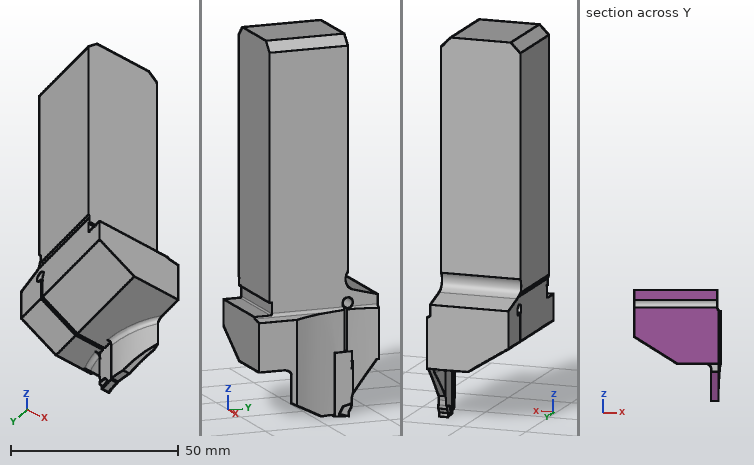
import cadquery as cq
import math


TOTAL_HEIGHT = 116.8
SHANK_SIZE = 25.2
SHANK_START_Y = 5.0
SHANK_END_Y = SHANK_START_Y + SHANK_SIZE
TOP_CHAMFER = 3.0
STEP_TOP = 40.0
STEP_BOTTOM = 39.0
STEP_DEPTH = 0.4

HEAD_RIGHT = 29.4
HEAD_DEPTH = 39.8
HEAD_BOTTOM = 16.8
BEVEL_TOP = 24.9
BEVEL_RUN = 12.8
SHOULDER_OUTER_Z = 32.0
SHOULDER_ANGLE = 10.0
SHOULDER_FILLET = 1.0
BACK_SHOULDER_OUTER_Z = 36.5
BACK_SHOULDER_ANGLE = 15.0
NECK_Y = 29.4
NECK_RADIUS = 3.5
NOTCH_WALL_Y = 5.7
NOTCH_FLOOR = 33.0
NOTCH_TOP = 36.9
NOTCH_FILLET = 0.5

HOLLOW_START_Y = 12.1
HOLLOW_CENTRE_Y = 31.5
HOLLOW_DEPTH = 3.9
HOLLOW_HALF_CHORD = HOLLOW_CENTRE_Y - HOLLOW_START_Y
HOLLOW_RADIUS = (HOLLOW_HALF_CHORD**2 + HOLLOW_DEPTH**2) / (2 * HOLLOW_DEPTH)
HOLLOW_X = HEAD_RIGHT - HOLLOW_DEPTH

BLADE_THICKNESS = 2.3
BLADE_START_Y = 10.3
BLADE_CENTRE_Y = 29.2
BLADE_LEFT = HOLLOW_X - BLADE_THICKNESS
BLADE_REACH = HEAD_RIGHT - BLADE_LEFT
BLADE_HALF_CHORD = BLADE_CENTRE_Y - BLADE_START_Y
BLADE_RADIUS = (BLADE_HALF_CHORD**2 + BLADE_REACH**2) / (2 * BLADE_REACH)
BLADE_FRONT_Z = 6.5
BLADE_FLAT_Y = 21.0
BLADE_BOTTOM = 0.9
BLADE_BACK_Y = 39.1
BLADE_BACK_LOW_Y = 31.6
BLADE_BACK_LOW_Z = 6.8
BLADE_ROOT_FILLET = 1.5

SLIT_HOLE_Y = 30.1
SLIT_HOLE_Z = 34.8
SLIT_HOLE_RADIUS = 1.6
SLIT_START_Y = 29.0
SLIT_WIDTH = 0.8

INSERT_TOP = 19.9
INSERT_START_Y = 25.7
INSERT_NECK_Y = 31.3
INSERT_END_Y = BLADE_BACK_LOW_Y
INSERT_STEP_Z = 14.5
INSERT_LOW_Z = BLADE_BACK_LOW_Z
INSERT_TAPER_Z = 5.4
INSERT_RIGHT = HOLLOW_X
INSERT_LEFT = BLADE_LEFT
HEEL_Z = 0.2
TIP_Y = 30.2
TIP_OVERHANG = 0.2
TIP_TOP = 3.9
TIP_RAKE_Y = 31.1
TIP_RAKE_Z = 2.7
TIP_EDGE_Z = 1.3
TIP_SHOULDER_Y = 28.5
TIP_SHOULDER_Z = 3.2
TIP_HEEL_Y = 27.2


def extrude_along_y(outline, start, end):
    return outline.extrude(start - end).translate((0, start, 0))


def extrude_along_x(outline, start, end):
    return outline.extrude(end - start).translate((start, 0, 0))


def box(x_range, y_range, z_range):
    """A box given by its start and end along each axis."""
    (x0, x1), (y0, y1), (z0, z1) = x_range, y_range, z_range
    return cq.Workplane("XY").box(x1 - x0, y1 - y0, z1 - z0, centered=False).translate((x0, y0, z0))


def holder_across_x():
    """Shank and head outline in XZ, through the full depth."""
    shoulder_rise = (HEAD_RIGHT - SHANK_SIZE) * math.tan(math.radians(SHOULDER_ANGLE))
    shoulder_z = SHOULDER_OUTER_Z + shoulder_rise
    outline = cq.Workplane("XZ").polyline([
        (0, STEP_TOP),
        (STEP_DEPTH, STEP_BOTTOM),
        (STEP_DEPTH, BEVEL_TOP),
        (STEP_DEPTH + BEVEL_RUN, HEAD_BOTTOM),
        (HEAD_RIGHT, HEAD_BOTTOM),
        (HEAD_RIGHT, SHOULDER_OUTER_Z),
        (SHANK_SIZE, shoulder_z),
        (SHANK_SIZE, TOTAL_HEIGHT - TOP_CHAMFER),
        (SHANK_SIZE - TOP_CHAMFER, TOTAL_HEIGHT),
        (TOP_CHAMFER, TOTAL_HEIGHT),
        (0, TOTAL_HEIGHT - TOP_CHAMFER),
    ]).close()
    body = extrude_along_y(outline, 0, HEAD_DEPTH)
    shoulder_corner = cq.selectors.NearestToPointSelector((SHANK_SIZE, HEAD_DEPTH / 2, shoulder_z))
    return body.edges(shoulder_corner).fillet(SHOULDER_FILLET)


def holder_across_y():
    """Shank and head outline in YZ, with the notch and the rounded neck."""
    slope = math.radians(BACK_SHOULDER_ANGLE)
    neck_centre_y = NECK_Y + NECK_RADIUS
    shoulder_z = BACK_SHOULDER_OUTER_Z + (HEAD_DEPTH - neck_centre_y) * math.tan(slope)
    neck_centre_z = shoulder_z + NECK_RADIUS / math.cos(slope)
    tangent_y = neck_centre_y - NECK_RADIUS * math.sin(slope)
    tangent_z = neck_centre_z - NECK_RADIUS * math.cos(slope)
    neck_top_z = neck_centre_z + math.sqrt(NECK_RADIUS**2 - (neck_centre_y - SHANK_END_Y)**2)
    outline = (
        cq.Workplane("YZ")
        .moveTo(0, HEAD_BOTTOM)
        .lineTo(HEAD_DEPTH, HEAD_BOTTOM)
        .lineTo(HEAD_DEPTH, BACK_SHOULDER_OUTER_Z)
        .lineTo(tangent_y, tangent_z)
        .threePointArc((NECK_Y, neck_centre_z), (SHANK_END_Y, neck_top_z))
        .lineTo(SHANK_END_Y, TOTAL_HEIGHT)
        .lineTo(SHANK_START_Y, TOTAL_HEIGHT)
        .lineTo(SHANK_START_Y, NOTCH_TOP)
        .lineTo(NOTCH_WALL_Y, NOTCH_TOP)
        .lineTo(NOTCH_WALL_Y, NOTCH_FLOOR)
        .lineTo(0, NOTCH_FLOOR)
        .close()
    )
    body = extrude_along_x(outline, 0, HEAD_RIGHT)
    notch_corner = cq.selectors.NearestToPointSelector((HEAD_RIGHT / 2, NOTCH_WALL_Y, NOTCH_FLOOR))
    return body.edges(notch_corner).fillet(NOTCH_FILLET)


def upright_cylinder(left_x, centre_y, radius):
    """Cylinder along Z, as tall as the head and blade, whose -X side lies at left_x."""
    return cq.Workplane("XY").center(left_x + radius, centre_y).circle(radius).extrude(STEP_TOP)


def blade():
    """Support blade below the head with a convex outer face."""
    outline = cq.Workplane("YZ").polyline([
        (0, HEAD_BOTTOM),
        (0, BLADE_FRONT_Z),
        (BLADE_START_Y, BLADE_FRONT_Z),
        (BLADE_FLAT_Y, BLADE_BOTTOM),
        (BLADE_BACK_LOW_Y, BLADE_BOTTOM),
        (BLADE_BACK_LOW_Y, BLADE_BACK_LOW_Z),
        (BLADE_BACK_Y, HEAD_BOTTOM),
    ]).close()
    plate = extrude_along_x(outline, 0, HEAD_RIGHT)
    return plate.intersect(upright_cylinder(BLADE_LEFT, BLADE_CENTRE_Y, BLADE_RADIUS))


def add_blade(body):
    """Join the blade and round its root along the outer face."""
    joined = body.union(blade())
    root = cq.selectors.NearestToPointSelector((BLADE_LEFT, BLADE_CENTRE_Y, HEAD_BOTTOM))
    return joined.edges(root).fillet(BLADE_ROOT_FILLET)


def clamping_slit():
    hole = cq.Workplane("YZ").center(SLIT_HOLE_Y, SLIT_HOLE_Z).circle(SLIT_HOLE_RADIUS)
    slit = box((0, HEAD_RIGHT), (SLIT_START_Y, SLIT_START_Y + SLIT_WIDTH), (HEAD_BOTTOM, SLIT_HOLE_Z))
    return extrude_along_x(hole, 0, HEAD_RIGHT).union(slit)


def insert_pocket():
    """Seat for the insert in the head, and the gap it fills across the blade."""
    seat = box((INSERT_LEFT, HEAD_RIGHT), (INSERT_START_Y, INSERT_NECK_Y), (0, INSERT_TOP))
    gap = box((0, HEAD_RIGHT), (INSERT_START_Y, INSERT_END_Y), (0, HEAD_BOTTOM))
    return seat.union(gap)


def make_holder():
    body = holder_across_x().intersect(holder_across_y())
    body = add_blade(body)
    body = body.cut(upright_cylinder(HOLLOW_X, HOLLOW_CENTRE_Y, HOLLOW_RADIUS))
    return body.cut(clamping_slit()).cut(insert_pocket()).solids()


def make_insert():
    bar_outline = cq.Workplane("YZ").polyline([
        (INSERT_START_Y, HEEL_Z),
        (INSERT_START_Y, INSERT_TOP),
        (INSERT_NECK_Y, INSERT_TOP),
        (INSERT_NECK_Y, INSERT_STEP_Z),
        (INSERT_END_Y, INSERT_STEP_Z),
        (INSERT_END_Y, INSERT_LOW_Z),
        (INSERT_NECK_Y, INSERT_TAPER_Z),
        (INSERT_NECK_Y, TIP_TOP),
        (TIP_RAKE_Y, TIP_RAKE_Z),
        (TIP_Y, TIP_EDGE_Z),
        (TIP_Y, 0),
    ]).close()
    tip_outline = cq.Workplane("YZ").polyline([
        (INSERT_NECK_Y, TIP_TOP),
        (TIP_SHOULDER_Y, TIP_SHOULDER_Z),
        (TIP_HEEL_Y, BLADE_BOTTOM),
        (TIP_Y, 0),
        (TIP_Y, TIP_EDGE_Z),
        (TIP_RAKE_Y, TIP_RAKE_Z),
    ]).close()
    bar = extrude_along_x(bar_outline, INSERT_LEFT, INSERT_RIGHT)
    tip = extrude_along_x(tip_outline, INSERT_LEFT - TIP_OVERHANG, INSERT_RIGHT + TIP_OVERHANG)
    return bar.union(tip).solids()


holder = make_holder()
insert = make_insert()
result = cq.Compound.makeCompound([holder.val(), insert.val()])